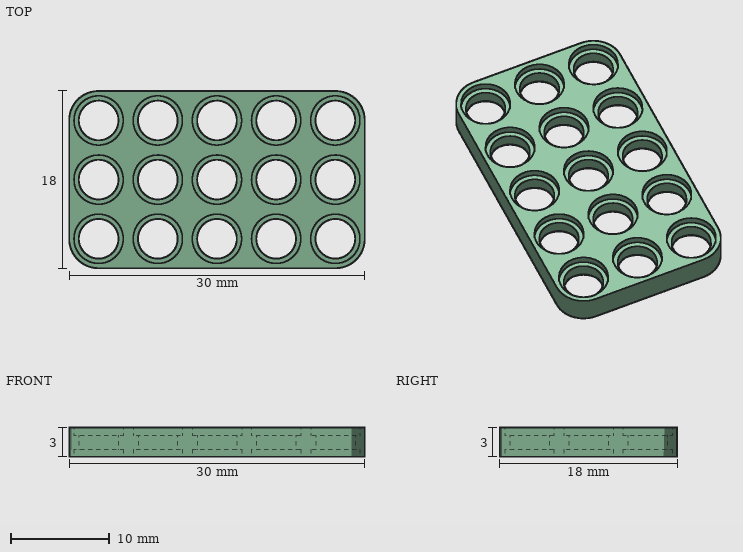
import cadquery as cq

columns = 5
rows = 3
pitch = 6.0

length = columns * pitch
width = rows * pitch
thickness = 3.0
corner_radius = pitch / 2

bore_diameter = 4.0
recess_diameter = 5.0
recess_depth = 0.8


def make_plate():
    """Flat plate with rounded vertical corners, centred on the origin."""
    plate = cq.Workplane("XY").box(length, width, thickness)
    return plate.edges("|Z").fillet(corner_radius)


def cut_stepped_holes(plate, face):
    """Cut the grid of through bores, recessed where they enter the given face."""
    entry_plane = plate.faces(face).workplane(centerOption="CenterOfBoundBox")
    centres = entry_plane.rarray(pitch, pitch, columns, rows)
    return centres.cboreHole(bore_diameter, recess_diameter, recess_depth)


result = make_plate()
for recessed_face in (">Z", "<Z"):
    result = cut_stepped_holes(result, recessed_face)